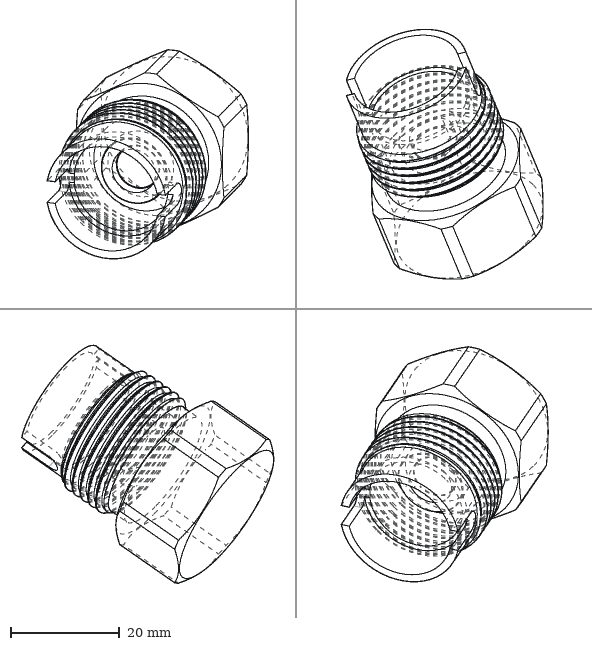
import cadquery as cq
import math


total_length = 38.85

hex_flats = 28.55
hex_corners = 31.75
head_length = 14.85
head_base = total_length - head_length
head_face_radius = 14.15
head_chamfer_angle = 30.0

neck_radius = 11.65
tube_radius = 11.75

thread_start = 9.33
thread_end = 20.35
thread_radius = 13.0
root_radius = 12.1
pitch = 1.83
crest_width = 0.25
flank_angle = 30.0
groove_turns = 7
groove_start = 8.45
groove_clearance = 0.1

mouth_radius = 10.2
mouth_depth = 8.3
bore_radius = 9.17
bore_depth = 19.43

boss_radius = 6.4
boss_height = 3.9
boss_chamfer = 0.15
socket_radius = 4.25
socket_depth = 2.35
point_radius = 4.08
point_angle = 90.0

slot_width = 4.25
slot_depth = 8.5


def cylinder(radius, bottom, top):
    return cq.Workplane("XY").workplane(offset=bottom).circle(radius).extrude(top - bottom)


def turned(points):
    """Solid of revolution from (radius, height) points."""
    return cq.Workplane("XZ").polyline(points).close().revolve(360, (0, 0), (0, 1))


def hex_head():
    """Hexagonal prism with rounded corners, chamfered at both ends."""
    half_sector = 30.0
    sharp_corners = hex_flats / math.cos(math.radians(half_sector))
    prism = (
        cq.Workplane("XY")
        .workplane(offset=head_base)
        .transformed(rotate=(0, 0, half_sector))
        .polygon(6, sharp_corners)
        .extrude(head_length)
    )
    corner_radius = hex_corners / 2
    drop = (corner_radius - head_face_radius) * math.tan(math.radians(head_chamfer_angle))
    envelope = turned([
        (0, head_base),
        (head_face_radius, head_base),
        (corner_radius, head_base + drop),
        (corner_radius, total_length - drop),
        (head_face_radius, total_length),
        (0, total_length),
    ])
    return prism.intersect(envelope)


def threaded_collar():
    """Collar with 45 degree end chamfers and a right-hand helical V groove."""
    chamfer = thread_radius - tube_radius
    blank = turned([
        (0, thread_start),
        (tube_radius, thread_start),
        (thread_radius, thread_start + chamfer),
        (thread_radius, thread_end - chamfer),
        (tube_radius, thread_end),
        (0, thread_end),
    ])
    slope = math.tan(math.radians(flank_angle))
    cutter_radius = thread_radius + groove_clearance
    half_at_crest = (pitch - crest_width) / 2
    half_at_root = half_at_crest - (thread_radius - root_radius) * slope
    half_at_cutter = half_at_crest + groove_clearance * slope
    path = cq.Wire.makeHelix(
        pitch, pitch, root_radius, center=cq.Vector(0, 0, groove_start)
    )
    groove_turn = (
        cq.Workplane("XZ")
        .polyline([
            (root_radius, groove_start - half_at_root),
            (cutter_radius, groove_start - half_at_cutter),
            (cutter_radius, groove_start + half_at_cutter),
            (root_radius, groove_start + half_at_root),
        ])
        .close()
        .sweep(path, isFrenet=True)
    )
    collar = blank
    for turn in range(groove_turns):
        collar = collar.cut(groove_turn.translate((0, 0, turn * pitch)))
    return collar


def bores():
    """Wide mouth followed by a narrower blind bore."""
    mouth = cylinder(mouth_radius, 0, mouth_depth)
    return mouth.union(cylinder(bore_radius, 0, bore_depth))


def centre_boss():
    """Chamfered boss with a blind socket ending in a drill point."""
    boss_face = bore_depth - boss_height
    socket_floor = boss_face + socket_depth
    point_length = point_radius / math.tan(math.radians(point_angle / 2))
    boss = cylinder(boss_radius, boss_face, bore_depth).faces("<Z").chamfer(boss_chamfer)
    socket = turned([
        (0, boss_face),
        (socket_radius, boss_face),
        (socket_radius, socket_floor),
        (point_radius, socket_floor),
        (0, socket_floor + point_length),
    ])
    return boss, socket


def tube_slots():
    """Round-ended slot through both tube walls along X, open at the tube end."""
    half_width = slot_width / 2
    straight = slot_depth - half_width
    return (
        cq.Workplane("YZ")
        .moveTo(-half_width, 0)
        .lineTo(-half_width, straight)
        .threePointArc((0, slot_depth), (half_width, straight))
        .lineTo(half_width, 0)
        .close()
        .extrude(thread_radius, both=True)
    )


boss, socket = centre_boss()
body = (
    cylinder(tube_radius, 0, thread_start)
    .union(threaded_collar())
    .union(cylinder(neck_radius, thread_end, head_base))
    .union(hex_head())
    .cut(bores())
    .cut(tube_slots())
    .union(boss)
    .cut(socket)
)
result = body.rotate((0, 0, 0), (1, 0, 0), -90)